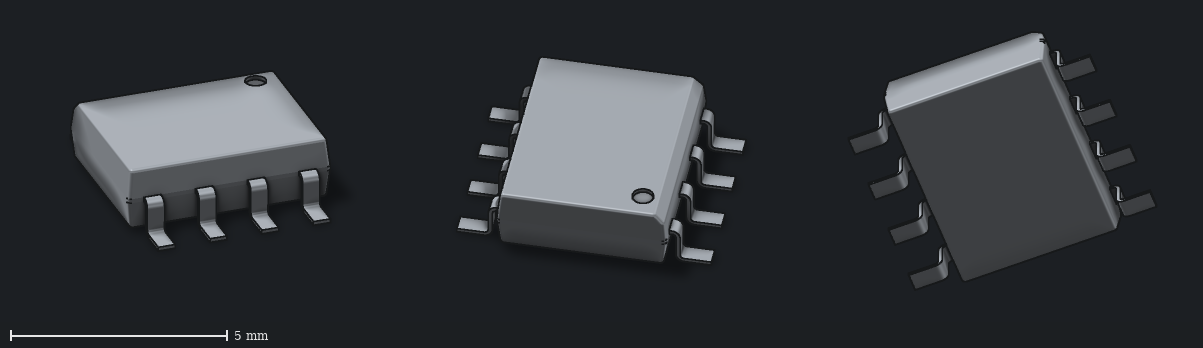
import cadquery as cq
import math

lead_span = 6.0
lead_thickness = 0.1
lead_width = 0.42
lead_pitch = 1.27
leads_per_side = 4
foot_length = 0.64
bend_inner_radius = 0.095
bend_outer_radius = bend_inner_radius + lead_thickness

package_length_x = 4.0
package_length_y = 5.0
package_top = 1.63
standoff = 0.1
draft_angle = 6.0
edge_radius = 0.095
bevel_width = 0.22

package_middle = (standoff + package_top) / 2
band_bottom = package_middle - lead_thickness / 2
band_top = package_middle + lead_thickness / 2
draft_height = package_top - band_top
draft_inset = draft_height * math.tan(math.radians(draft_angle))

dot_diameter = 0.5
dot_depth = 0.1
dot_x = -1.33
dot_y = 1.835


def make_draft_half(start_height, height):
    """Half of the package, narrowing away from the band; a negative height goes down."""
    return (
        cq.Workplane("XY")
        .workplane(offset=start_height)
        .rect(package_length_x, package_length_y)
        .workplane(offset=height)
        .rect(package_length_x - 2 * draft_inset, package_length_y - 2 * draft_inset)
        .loft(ruled=True)
    )


def make_bevel_cutter():
    """Triangular prism that takes off the top edge on the -X side at 45 degrees."""
    bevel_start_x = -package_length_x / 2 + draft_inset + bevel_width
    leg = 2 * bevel_width
    return (
        cq.Workplane("XZ")
        .moveTo(bevel_start_x, package_top)
        .lineTo(bevel_start_x - leg, package_top)
        .lineTo(bevel_start_x - leg, package_top - leg)
        .close()
        .extrude(package_length_y / 2, both=True)
    )


def is_band_edge(edge):
    """True for the level edges where the band meets the drafted halves."""
    is_level = edge.BoundingBox().zlen < lead_thickness / 2
    return is_level and abs(edge.Center().z - package_middle) < lead_thickness


def make_package():
    """Drafted package with a beveled edge on the pin 1 side, rounded edges and a pin 1 dot."""
    band = (
        cq.Workplane("XY")
        .workplane(offset=band_bottom)
        .rect(package_length_x, package_length_y)
        .extrude(lead_thickness)
    )
    package = (
        band.union(make_draft_half(band_top, draft_height))
        .union(make_draft_half(band_bottom, -draft_height))
        .cut(make_bevel_cutter())
    )
    rounded_edges = [edge for edge in package.edges().vals() if not is_band_edge(edge)]
    package = package.newObject(rounded_edges).fillet(edge_radius)
    dot = (
        cq.Workplane("XY")
        .workplane(offset=package_top - dot_depth)
        .center(dot_x, dot_y)
        .circle(dot_diameter / 2)
        .extrude(dot_depth)
    )
    return package.cut(dot)


def make_lead(y_position):
    """Gull-wing lead on the +X side, running from the package band down to its foot."""
    foot_end_x = lead_span / 2
    foot_start_x = foot_end_x - foot_length
    leg_inner_x = foot_start_x - bend_outer_radius
    leg_outer_x = leg_inner_x + lead_thickness
    shoulder_x = leg_outer_x - bend_outer_radius
    root_x = package_length_x / 2
    upper_bend_z = band_top - bend_outer_radius
    lower_bend_z = bend_outer_radius
    return (
        cq.Workplane("XZ", origin=(0, y_position, 0))
        .moveTo(root_x, band_top)
        .lineTo(shoulder_x, band_top)
        .radiusArc((leg_outer_x, upper_bend_z), bend_outer_radius)
        .lineTo(leg_outer_x, lower_bend_z)
        .radiusArc((foot_start_x, lead_thickness), -bend_inner_radius)
        .lineTo(foot_end_x, lead_thickness)
        .lineTo(foot_end_x, 0)
        .lineTo(foot_start_x, 0)
        .radiusArc((leg_inner_x, lower_bend_z), bend_outer_radius)
        .lineTo(leg_inner_x, upper_bend_z)
        .radiusArc((shoulder_x, band_bottom), -bend_inner_radius)
        .lineTo(root_x, band_bottom)
        .close()
        .extrude(lead_width / 2, both=True)
    )


package = make_package()

leads = []
for row in range(leads_per_side):
    lead = make_lead((row - (leads_per_side - 1) / 2) * lead_pitch)
    leads.append(lead.val())
    leads.append(lead.mirror("YZ").val())

result = cq.Compound.makeCompound([package.val(), *leads])